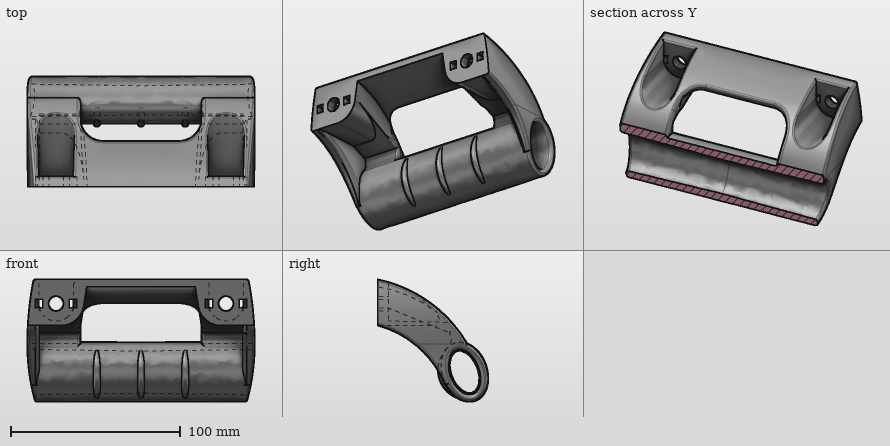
import cadquery as cq
import math


WIDTH = 134.0
DEPTH = 65.18
HEIGHT = 72.21
MARGIN = 10.0
TOLERANCE = 0.05

PLATE_HEIGHT = 27.2
UPPER_RADIUS = 80.4
UPPER_CENTRE_Y = -16.6
UPPER_CENTRE_Z = -math.sqrt(UPPER_RADIUS**2 - UPPER_CENTRE_Y**2)
LOWER_RADIUS = 59.4
LOWER_CENTRE_Y = -15.2
LOWER_CENTRE_Z = -PLATE_HEIGHT - math.sqrt(LOWER_RADIUS**2 - LOWER_CENTRE_Y**2)
ARM_TOP_END_Z = -40.0
ARM_BOTTOM_END_Z = -62.5

GRIP_SEMI_MAJOR = 18.2
GRIP_SEMI_MINOR = 13.3
GRIP_LEAN = math.radians(21.0)
GRIP_HALF_DEPTH = math.hypot(GRIP_SEMI_MAJOR * math.sin(GRIP_LEAN), GRIP_SEMI_MINOR * math.cos(GRIP_LEAN))
GRIP_HALF_HEIGHT = math.hypot(GRIP_SEMI_MAJOR * math.cos(GRIP_LEAN), GRIP_SEMI_MINOR * math.sin(GRIP_LEAN))
GRIP_Y = DEPTH - GRIP_HALF_DEPTH
GRIP_Z = GRIP_HALF_HEIGHT - HEIGHT

BORE_SEMI_MAJOR = 13.0
BORE_SEMI_MINOR = 7.75
BORE_DRAFT_GROWTH = 1.0
BORE_RIM_RADIUS = 2.0

WIDEST_Z = -38.1
END_RADIUS_ABOVE = 195.0
END_RADIUS_BELOW = 125.0
ARM_END_RADIUS = 1.5
GRIP_END_RADIUS = 1.8

RIM_INNER_X = 59.8
RIM_EDGE_RADIUS = 2.4
RAMP_END_Z = -31.4
RAMP_ANGLE = math.radians(22.0)
BEND_START_ANGLE = math.radians(58.0)
BEND_END_Z = -39.8

BAR_THICKNESS = 4.3
BAR_UNDERSIDE_RADIUS = 76.1
BAR_UNDERSIDE_CENTRE_Y = -12.0
OPENING_TOP_HALF = 31.9
OPENING_SIDE_SLOPE = 0.16
LOBE_RADIUS = 13.0
WINDOW_FRONT_Y = 27.2
WINDOW_HALF = OPENING_TOP_HALF + OPENING_SIDE_SLOPE * (PLATE_HEIGHT - BAR_THICKNESS)
WINDOW_CORNER_RADIUS = 13.0
WINDOW_EDGE_RADIUS = 2.2
LEG_EDGE_RADIUS = 2.0

SCREW_X = 50.0
SCREW_Z = -14.3
SCREW_DIAMETER = 8.6
WALL_THICKNESS = 6.3
SCOOP_RADIUS_AT_WALL = 10.2
SCOOP_RADIUS_AT_BACK = 11.6
SCOOP_EDGE_RADIUS = 1.2
SLOT_OFFSET = 10.05
SLOT_WIDTH = 4.3
SLOT_HEIGHT = 4.8

RIDGE_PITCH = 26.0
RIDGE_RADIUS = 2.0
RIDGE_PATH_RADIUS = 16.0
RIDGE_CENTRE_Y = 53.4
RIDGE_CENTRE_Z = -53.2
RIDGE_START_Y = 45.0


def grip_point(angle):
    """Point (y, z) of the grip ellipse; angle 0 is the upper end of the major axis."""
    u = GRIP_SEMI_MAJOR * math.cos(angle)
    v = GRIP_SEMI_MINOR * math.sin(angle)
    y = GRIP_Y - u * math.sin(GRIP_LEAN) - v * math.cos(GRIP_LEAN)
    z = GRIP_Z + u * math.cos(GRIP_LEAN) - v * math.sin(GRIP_LEAN)
    return y, z


def grip_normal(angle):
    """Outward unit normal (y, z) of the grip ellipse."""
    u = math.cos(angle) / GRIP_SEMI_MAJOR
    v = math.sin(angle) / GRIP_SEMI_MINOR
    length = math.hypot(u, v)
    y = (-u * math.sin(GRIP_LEAN) - v * math.cos(GRIP_LEAN)) / length
    z = (u * math.cos(GRIP_LEAN) - v * math.sin(GRIP_LEAN)) / length
    return y, z


def grip_angle_at(level):
    """Ellipse angle on the mounting-face side where the grip reaches the given Z."""
    return math.acos((level - GRIP_Z) / GRIP_HALF_HEIGHT) - math.atan2(
        GRIP_SEMI_MINOR * math.sin(GRIP_LEAN), GRIP_SEMI_MAJOR * math.cos(GRIP_LEAN)
    )


def arc_point(centre_y, centre_z, radius, z):
    """Point (y, z) at level z on the outward side of an arm arc."""
    return centre_y + math.sqrt(radius**2 - (z - centre_z) ** 2), z


def ellipse_section(x, semi_major, semi_minor):
    """Ellipse concentric with the grip, in the YZ plane at the given X."""
    major_axis = (0, -math.sin(GRIP_LEAN), math.cos(GRIP_LEAN))
    plane = cq.Plane(origin=(x, GRIP_Y, GRIP_Z), xDir=major_axis, normal=(1, 0, 0))
    return cq.Workplane(plane).ellipse(semi_major, semi_minor)


def on_arm_arc(point, centre_y, centre_z, radius):
    """True where a point lies on the cylindrical face of an arm arc."""
    return abs(math.hypot(point.y - centre_y, point.z - centre_z) - radius) < TOLERANCE


def on_upper_arc(edge):
    """True for an edge that runs along the upper arm face."""
    samples = edge.positions([0.2, 0.5, 0.8])
    return all(on_arm_arc(point, UPPER_CENTRE_Y, UPPER_CENTRE_Z, UPPER_RADIUS) for point in samples)


def on_lower_arc(edge):
    """True for an edge that runs along the lower arm face."""
    samples = edge.positions([0.2, 0.5, 0.8])
    return all(on_arm_arc(point, LOWER_CENTRE_Y, LOWER_CENTRE_Z, LOWER_RADIUS) for point in samples)


def fillet_where(part, radius, condition):
    """Round every edge of the part that meets the condition."""
    chosen = [edge for edge in part.edges().vals() if condition(edge)]
    return part.newObject(chosen).fillet(radius)


def make_arm():
    """Solid arm between the two arcs, running from the mounting face into the grip."""
    upper_end = arc_point(UPPER_CENTRE_Y, UPPER_CENTRE_Z, UPPER_RADIUS, ARM_TOP_END_Z)
    upper_mid = arc_point(UPPER_CENTRE_Y, UPPER_CENTRE_Z, UPPER_RADIUS, ARM_TOP_END_Z / 2)
    lower_end = arc_point(LOWER_CENTRE_Y, LOWER_CENTRE_Z, LOWER_RADIUS, ARM_BOTTOM_END_Z)
    lower_mid = arc_point(LOWER_CENTRE_Y, LOWER_CENTRE_Z, LOWER_RADIUS, (ARM_BOTTOM_END_Z - PLATE_HEIGHT) / 2)
    profile = (
        cq.Workplane("YZ")
        .moveTo(0, 0)
        .threePointArc(upper_mid, upper_end)
        .lineTo(GRIP_Y, GRIP_Z)
        .lineTo(*lower_end)
        .threePointArc(lower_mid, (0, -PLATE_HEIGHT))
        .close()
    )
    return profile.extrude(WIDTH / 2, both=True)


def floor_bend():
    """Start, middle and end of the bend from the recess ramp to the grip."""
    angle = grip_angle_at(BEND_END_Z)
    end_y, end_z = grip_point(angle)
    normal_y, normal_z = grip_normal(angle)
    radius = (RAMP_END_Z - end_z) / (math.cos(BEND_START_ANGLE) + normal_z)
    centre_y = end_y + radius * normal_y
    centre_z = end_z + radius * normal_z
    start_direction = math.pi / 2 - BEND_START_ANGLE
    end_direction = math.atan2(-normal_z, -normal_y)
    middle_direction = (start_direction + end_direction) / 2
    start = (centre_y + radius * math.cos(start_direction), RAMP_END_Z)
    middle = (centre_y + radius * math.cos(middle_direction), centre_z + radius * math.sin(middle_direction))
    return start, middle, (end_y, end_z)


def ramp_y(z):
    """Depth of the recess ramp, or of its upward extension, at level z."""
    (end_y, end_z), _, _ = floor_bend()
    return end_y - (z - end_z) / math.tan(RAMP_ANGLE)


def make_recess(half_length):
    """Material below the level floor, the ramp and the bend under the arm."""
    start, middle, end = floor_bend()
    profile = (
        cq.Workplane("YZ")
        .moveTo(0, -PLATE_HEIGHT)
        .lineTo(ramp_y(-PLATE_HEIGHT), -PLATE_HEIGHT)
        .lineTo(*start)
        .threePointArc(middle, end)
        .lineTo(GRIP_Y, GRIP_Z)
        .lineTo(GRIP_Y, -HEIGHT - MARGIN)
        .lineTo(0, -HEIGHT - MARGIN)
        .close()
    )
    return profile.extrude(half_length, both=True)


def make_leg_gap():
    """Space below the bar: sides spreading downwards, limited above by the arched bar underside."""
    top_half = OPENING_TOP_HALF - OPENING_SIDE_SLOPE * BAR_THICKNESS
    prism = (
        cq.Workplane("XZ")
        .moveTo(-top_half, 0)
        .lineTo(top_half, 0)
        .lineTo(WINDOW_HALF, -PLATE_HEIGHT)
        .lineTo(WINDOW_HALF, -HEIGHT)
        .lineTo(-WINDOW_HALF, -HEIGHT)
        .lineTo(-WINDOW_HALF, -PLATE_HEIGHT)
        .close()
        .extrude(-DEPTH)
    )
    centre_z = -BAR_THICKNESS - math.sqrt(BAR_UNDERSIDE_RADIUS**2 - BAR_UNDERSIDE_CENTRE_Y**2)
    below_bar = cq.Workplane("YZ").center(BAR_UNDERSIDE_CENTRE_Y, centre_z).circle(BAR_UNDERSIDE_RADIUS)
    return prism.intersect(below_bar.extrude(WIDTH / 2, both=True))


def make_lobe_rounding(side):
    """Material removed to round the inner lower corner of a mounting lobe, back to the ramp."""
    lean = math.atan(OPENING_SIDE_SLOPE)
    trim = LOBE_RADIUS * math.tan((math.pi / 2 - lean) / 2)
    centre_x = WINDOW_HALF + trim
    centre_z = LOBE_RADIUS - PLATE_HEIGHT
    upper = (WINDOW_HALF - trim * math.sin(lean), trim * math.cos(lean) - PLATE_HEIGHT)
    middle_direction = math.pi + (math.pi / 2 - lean) / 2 + lean
    middle_x = centre_x + LOBE_RADIUS * math.cos(middle_direction)
    middle_z = centre_z + LOBE_RADIUS * math.sin(middle_direction)
    corner = (
        cq.Workplane("XZ")
        .moveTo(side * WINDOW_HALF, -PLATE_HEIGHT)
        .lineTo(side * upper[0], upper[1])
        .threePointArc((side * middle_x, middle_z), (side * centre_x, -PLATE_HEIGHT))
        .close()
        .extrude(-DEPTH)
    )
    before_ramp = (
        cq.Workplane("YZ")
        .moveTo(0, -PLATE_HEIGHT)
        .lineTo(0, upper[1])
        .lineTo(ramp_y(upper[1]), upper[1])
        .lineTo(ramp_y(-PLATE_HEIGHT), -PLATE_HEIGHT)
        .close()
    )
    return corner.intersect(before_ramp.extrude(WIDTH / 2, both=True))


def make_window():
    """Vertical cutter behind the bar, with rounded front corners."""
    length = DEPTH - WINDOW_FRONT_Y
    return (
        cq.Workplane("XY", origin=(0, WINDOW_FRONT_Y + length / 2, -HEIGHT))
        .rect(2 * WINDOW_HALF, length)
        .extrude(HEIGHT + MARGIN)
        .edges("|Z and <Y")
        .fillet(WINDOW_CORNER_RADIUS)
    )


def scoop_section(y, radius):
    """U-shaped outline around the screw axis, open upwards."""
    return (
        cq.Workplane("XZ", origin=(0, y, SCREW_Z))
        .moveTo(-radius, MARGIN - SCREW_Z)
        .lineTo(-radius, 0)
        .threePointArc((0, -radius), (radius, 0))
        .lineTo(radius, MARGIN - SCREW_Z)
        .close()
        .val()
    )


def make_scoop():
    """Drafted screw recess, widening away from the mounting wall."""
    wall = scoop_section(WALL_THICKNESS, SCOOP_RADIUS_AT_WALL)
    back = scoop_section(DEPTH, SCOOP_RADIUS_AT_BACK)
    return cq.Workplane(cq.Solid.makeLoft([wall, back], True))


def make_bore():
    """Bore cutter, two drafted halves meeting at mid-length."""
    middle = ellipse_section(0, BORE_SEMI_MAJOR, BORE_SEMI_MINOR).val()
    end_major = BORE_SEMI_MAJOR + BORE_DRAFT_GROWTH
    end_minor = BORE_SEMI_MINOR + BORE_DRAFT_GROWTH
    halves = []
    for side in (-1, 1):
        end = ellipse_section(side * WIDTH / 2, end_major, end_minor).val()
        halves.append(cq.Workplane(cq.Solid.makeLoft([middle, end], True)))
    return halves[0].union(halves[1])


def make_end_envelope():
    """Front outline of the whole part with its bulged ends, extruded along Y."""
    half = WIDTH / 2

    def end_x(radius, z):
        return half - radius + math.sqrt(radius**2 - (z - WIDEST_Z) ** 2)

    top_x = end_x(END_RADIUS_ABOVE, 0)
    bottom_x = end_x(END_RADIUS_BELOW, -HEIGHT)
    upper_mid_z = WIDEST_Z / 2
    lower_mid_z = (WIDEST_Z - HEIGHT) / 2
    upper_mid_x = end_x(END_RADIUS_ABOVE, upper_mid_z)
    lower_mid_x = end_x(END_RADIUS_BELOW, lower_mid_z)
    return (
        cq.Workplane("XZ")
        .moveTo(-top_x, 0)
        .lineTo(top_x, 0)
        .threePointArc((upper_mid_x, upper_mid_z), (half, WIDEST_Z))
        .threePointArc((lower_mid_x, lower_mid_z), (bottom_x, -HEIGHT))
        .lineTo(-bottom_x, -HEIGHT)
        .threePointArc((-lower_mid_x, lower_mid_z), (-half, WIDEST_Z))
        .threePointArc((-upper_mid_x, upper_mid_z), (-top_x, 0))
        .close()
        .extrude(-DEPTH)
    )


def make_ridge(x):
    """Bead bent round the finger side of the grip, sinking into it at both ends."""
    start_angle = math.degrees(math.acos((RIDGE_CENTRE_Y - RIDGE_START_Y) / RIDGE_PATH_RADIUS))
    sweep = start_angle + 90
    return (
        cq.Workplane("XY", origin=(x, RIDGE_CENTRE_Y, RIDGE_CENTRE_Z))
        .center(0, -RIDGE_PATH_RADIUS)
        .circle(RIDGE_RADIUS)
        .revolve(sweep, (0, RIDGE_PATH_RADIUS, 0), (1, RIDGE_PATH_RADIUS, 0))
        .rotate((x, RIDGE_CENTRE_Y, RIDGE_CENTRE_Z), (x + 1, RIDGE_CENTRE_Y, RIDGE_CENTRE_Z), -start_angle)
    )


def make_hollow_arm(envelope):
    """Arm with bulged ends, rounded end edges, and a recess below that leaves a rim at each end."""
    full = fillet_where(
        make_arm().intersect(envelope),
        ARM_END_RADIUS,
        lambda edge: abs(edge.Center().x) > RIM_INNER_X
        and edge.Center().y > TOLERANCE
        and (on_upper_arc(edge) or on_lower_arc(edge)),
    )
    hollow = full.cut(make_recess(RIM_INNER_X + RIM_EDGE_RADIUS))
    middle_block = cq.Workplane("XY").box(2 * RIM_INNER_X, 2 * DEPTH, 2 * HEIGHT)
    rims = fillet_where(
        full.cut(middle_block),
        RIM_EDGE_RADIUS,
        lambda edge: abs(abs(edge.Center().x) - RIM_INNER_X) < TOLERANCE and on_lower_arc(edge),
    )
    return hollow.union(rims)


def open_between_legs(arm):
    """Cut the hand opening, then round the lower edges of the legs and the upper edges of the opening."""
    arm = arm.cut(make_leg_gap())
    for side in (-1, 1):
        arm = arm.cut(make_lobe_rounding(side))
    arm = arm.cut(make_window())
    arm = fillet_where(
        arm,
        LEG_EDGE_RADIUS,
        lambda edge: abs(abs(edge.Center().x) - WINDOW_HALF) < TOLERANCE
        and ramp_y(-PLATE_HEIGHT) < edge.Center().y < GRIP_Y - GRIP_SEMI_MINOR / 2
        and BEND_END_Z < edge.Center().z < TOLERANCE - PLATE_HEIGHT
        and not on_upper_arc(edge),
    )
    return fillet_where(
        arm,
        WINDOW_EDGE_RADIUS,
        lambda edge: abs(edge.Center().x) < WINDOW_HALF + TOLERANCE
        and edge.Center().y > TOLERANCE
        and on_upper_arc(edge),
    )


def add_scoops(arm):
    """Cut both screw recesses into the upper face and round their rims."""
    for side in (-1, 1):
        arm = arm.cut(make_scoop().translate((side * SCREW_X, 0, 0)))
    return fillet_where(
        arm,
        SCOOP_EDGE_RADIUS,
        lambda edge: abs(abs(edge.Center().x) - SCREW_X) < SCOOP_RADIUS_AT_BACK
        and edge.Center().y > TOLERANCE
        and on_upper_arc(edge),
    )


def add_mounting_openings(arm):
    """Cut a screw hole and two latch slots through the wall in front of each scoop."""
    for side in (-1, 1):
        screw_x = side * SCREW_X
        wall = cq.Workplane("XZ", origin=(screw_x, 0, SCREW_Z))
        arm = arm.cut(wall.circle(SCREW_DIAMETER / 2).extrude(-WALL_THICKNESS))
        slots = wall.pushPoints([(-SLOT_OFFSET, 0), (SLOT_OFFSET, 0)]).rect(SLOT_WIDTH, SLOT_HEIGHT)
        arm = arm.cut(slots.extrude(-WALL_THICKNESS))
    return arm


def make_grip(envelope):
    """Solid grip with bulged ends and rounded outer end edges."""
    grip = ellipse_section(-WIDTH / 2, GRIP_SEMI_MAJOR, GRIP_SEMI_MINOR).extrude(WIDTH)
    return fillet_where(
        grip.intersect(envelope),
        GRIP_END_RADIUS,
        lambda edge: abs(edge.Center().x) > RIM_INNER_X and abs(edge.Center().z - WIDEST_Z) > TOLERANCE,
    )


def add_bore(body):
    """Cut the bore through the grip and round its rim at both ends."""
    end_minor = BORE_SEMI_MINOR + BORE_DRAFT_GROWTH

    def is_bore_rim(edge):
        centre = edge.Center()
        near_axis = math.hypot(centre.y - GRIP_Y, centre.z - GRIP_Z) < end_minor
        return near_axis and abs(centre.x) > RIM_INNER_X

    return fillet_where(body.cut(make_bore()), BORE_RIM_RADIUS, is_bore_rim)


end_envelope = make_end_envelope()
arm = make_hollow_arm(end_envelope)
arm = open_between_legs(arm)
arm = add_scoops(arm)
arm = add_mounting_openings(arm)
body = arm.union(make_grip(end_envelope))
for ridge_x in (-RIDGE_PITCH, 0, RIDGE_PITCH):
    body = body.union(make_ridge(ridge_x))
result = add_bore(body)